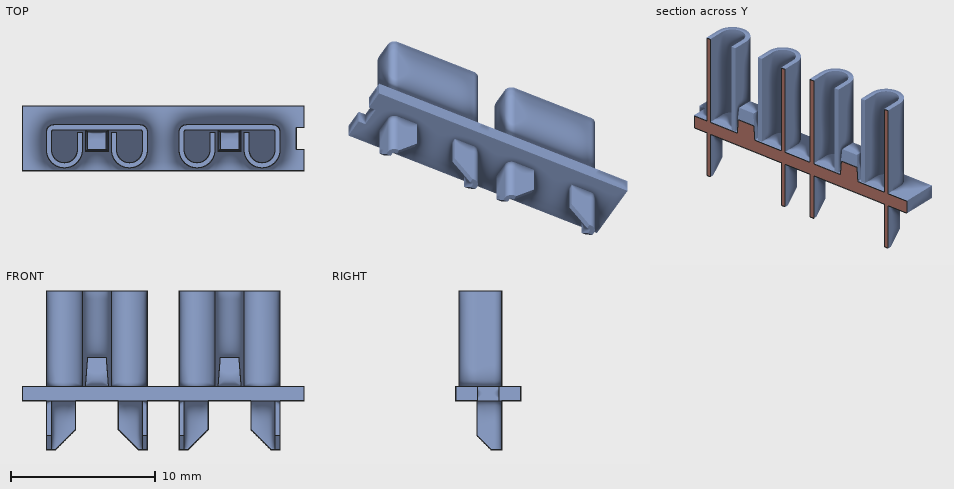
import cadquery as cq
import math

plate_length = 19.5
plate_width = 4.5
plate_thick = 1.0
notch_depth = 0.53
notch_width = 1.5

sheet = 0.35
inner_bend = 0.15
outer_bend = inner_bend + sheet
contact_width = 7.0
contact_depth = 2.98
contact_pitch = 9.18
contact_front_gap = 0.21
contact_height = 6.61
curl_radius = 1.25
curl_end_setback = 0.53

leg_length = 3.4
back_leg_width = 2.03
side_leg_depth = 1.74
back_leg_bevel = 1.4
side_leg_bevel = 1.0

block_width = 1.6
block_depth = 1.5
block_height = 2.0
block_taper = 0.15

half_width = contact_width / 2
back_y = -plate_width / 2 + contact_front_gap + contact_depth
curl_y = curl_radius - contact_depth
curl_x = curl_radius - half_width
curl_inner_radius = curl_radius - sheet
bend_y = -outer_bend
bend_x = outer_bend - half_width
bend_diagonal = math.sqrt(0.5)


def bend_middle(radius):
    """Midpoint of the bend arc of the given radius at the contact's back left corner."""
    return (bend_x - radius * bend_diagonal, bend_y + radius * bend_diagonal)


def make_plate():
    plate = cq.Workplane("XY").box(plate_length, plate_width, plate_thick, centered=(True, True, False))
    notch = (
        cq.Workplane("XY")
        .center(plate_length / 2, 0)
        .rect(2 * notch_depth, notch_width)
        .extrude(plate_thick)
    )
    return plate.cut(notch)


def make_left_curl():
    """Left half of the sheet: half the back wall, the bend, and the U-shaped curl."""
    return (
        cq.Workplane("XY", origin=(0, 0, plate_thick))
        .moveTo(0, 0)
        .lineTo(bend_x, 0)
        .threePointArc(bend_middle(outer_bend), (-half_width, bend_y))
        .lineTo(-half_width, curl_y)
        .threePointArc((curl_x, -contact_depth), (curl_x + curl_radius, curl_y))
        .lineTo(curl_x + curl_radius, -curl_end_setback)
        .lineTo(curl_x + curl_inner_radius, -curl_end_setback)
        .lineTo(curl_x + curl_inner_radius, curl_y)
        .threePointArc((curl_x, sheet - contact_depth), (curl_x - curl_inner_radius, curl_y))
        .lineTo(sheet - half_width, bend_y)
        .threePointArc(bend_middle(inner_bend), (bend_x, -sheet))
        .lineTo(0, -sheet)
        .close()
        .extrude(contact_height)
    )


def make_left_leg():
    """L-shaped leg below the plate, with the free edge of each arm bevelled to the tip."""
    back_edge_x = back_leg_width - half_width
    leg = (
        cq.Workplane("XY")
        .moveTo(back_edge_x, 0)
        .lineTo(bend_x, 0)
        .threePointArc(bend_middle(outer_bend), (-half_width, bend_y))
        .lineTo(-half_width, -side_leg_depth)
        .lineTo(sheet - half_width, -side_leg_depth)
        .lineTo(sheet - half_width, bend_y)
        .threePointArc(bend_middle(inner_bend), (bend_x, -sheet))
        .lineTo(back_edge_x, -sheet)
        .close()
        .extrude(-leg_length)
    )
    back_bevel = (
        cq.Workplane("XZ")
        .moveTo(back_edge_x, -leg_length)
        .lineTo(back_edge_x - back_leg_bevel, -leg_length)
        .lineTo(back_edge_x, back_leg_bevel - leg_length)
        .close()
        .extrude(sheet)
    )
    side_bevel = (
        cq.Workplane("YZ", origin=(-half_width, 0, 0))
        .moveTo(-side_leg_depth, -leg_length)
        .lineTo(side_leg_bevel - side_leg_depth, -leg_length)
        .lineTo(-side_leg_depth, side_leg_bevel - leg_length)
        .close()
        .extrude(sheet)
    )
    return leg.cut(back_bevel).cut(side_bevel)


def make_block():
    """Block against the back wall, narrowing upwards on all four sides."""
    return (
        cq.Workplane("XY", origin=(0, -sheet - block_depth / 2, plate_thick))
        .rect(block_width, block_depth)
        .workplane(offset=block_height)
        .rect(block_width - 2 * block_taper, block_depth - 2 * block_taper)
        .loft(ruled=True)
    )


def make_contact():
    """One contact: the sheet and block above the plate, and the pair of legs below it."""
    left_curl = make_left_curl()
    left_leg = make_left_leg()
    curls = left_curl.union(left_curl.mirror("YZ"))
    return curls.union(make_block()), left_leg.union(left_leg.mirror("YZ"))


result = make_plate()
contact_parts = make_contact()
for contact_x in (-contact_pitch / 2, contact_pitch / 2):
    for contact_part in contact_parts:
        result = result.union(contact_part.translate((contact_x, back_y, 0)))